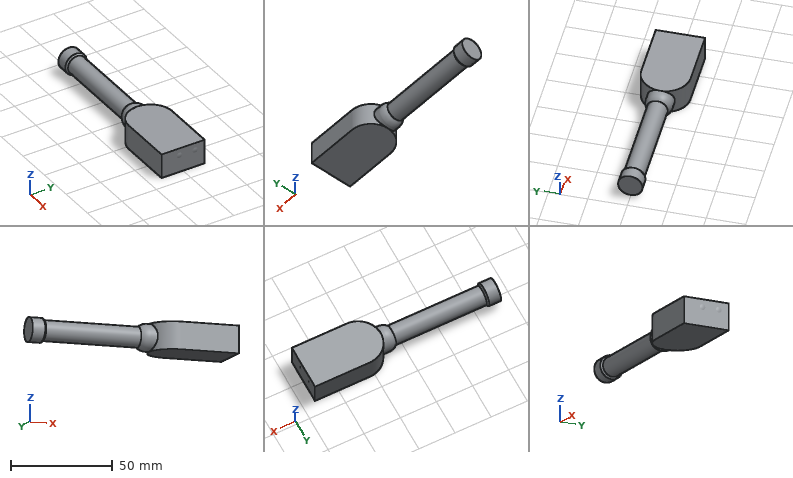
import cadquery as cq

total_length = 106.5
head_width = 25.0
head_thickness = 14.0

tip_diameter = 12.5
tip_length = 6.5
shaft_diameter = 10.5
collar_diameter = head_thickness
collar_start = 57.5
collar_round_radius = 6.0

head_start = 63.5
nose_length = 12.0

dome_diameter = 3.0
dome_height = 0.2
dome_y_positions = (-2.1, 6.9)
dome_z = 2.9

tip_radius = tip_diameter / 2
shaft_radius = shaft_diameter / 2
collar_radius = collar_diameter / 2
tip_chamfer = tip_radius - shaft_radius
head_end = total_length - dome_height
nose_end = head_start + nose_length


def make_handle():
    """Revolve the tip, shaft and rounded collar, ending inside the head."""
    arc_center_height = collar_radius - collar_round_radius
    round_length = (collar_round_radius**2 - (shaft_radius - arc_center_height) ** 2) ** 0.5
    collar_full = collar_start + round_length
    arc_mid_offset = round_length / 2
    arc_mid_height = arc_center_height + (collar_round_radius**2 - arc_mid_offset**2) ** 0.5
    profile = (
        cq.Workplane("XY")
        .lineTo(0, tip_radius)
        .lineTo(tip_length, tip_radius)
        .lineTo(tip_length + tip_chamfer, shaft_radius)
        .lineTo(collar_start, shaft_radius)
        .threePointArc((collar_full - arc_mid_offset, arc_mid_height), (collar_full, collar_radius))
        .lineTo(nose_end, collar_radius)
        .lineTo(nose_end, 0)
        .close()
    )
    return profile.revolve(360, (0, 0, 0), (1, 0, 0))


def make_head():
    """Extrude the flat head, whose nose is an arc across its full width."""
    half_width = head_width / 2
    outline = (
        cq.Workplane("XY")
        .moveTo(head_end, -half_width)
        .lineTo(head_end, half_width)
        .lineTo(nose_end, half_width)
        .threePointArc((head_start, 0), (nose_end, -half_width))
        .close()
    )
    return outline.extrude(head_thickness / 2, both=True)


def make_dome(y):
    """Spherical cap standing on the end face of the head."""
    dome_radius = dome_diameter / 2
    sphere_radius = (dome_radius**2 + dome_height**2) / (2 * dome_height)
    sphere_center_x = total_length - sphere_radius
    sphere = cq.Workplane("XY").sphere(sphere_radius).translate((sphere_center_x, y, dome_z))
    core_plane = cq.Workplane("YZ", origin=(head_end - dome_radius, y, dome_z))
    core = core_plane.circle(dome_radius).extrude(dome_diameter)
    return core.intersect(sphere)


result = make_handle().union(make_head())
for y in dome_y_positions:
    result = result.union(make_dome(y))